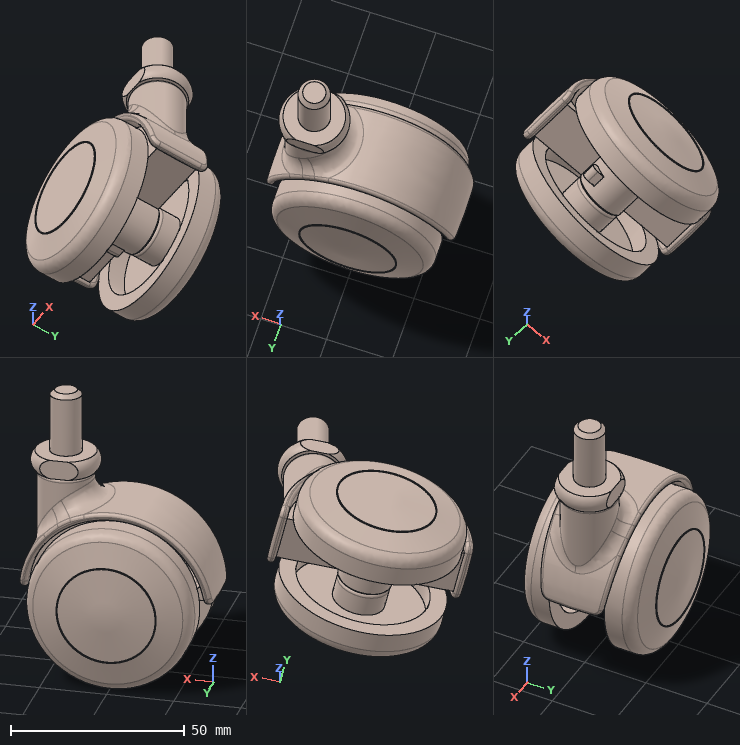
import cadquery as cq
import math


OVERALL_WIDTH = 45.0
OVERALL_HEIGHT = 86.0

MARGIN = 0.4

WHEEL_RADIUS = 25.0
WHEEL_INNER_FACE = 9.0
WHEEL_SHOULDER_FILLET = 3.8
CAP_RADIUS = 14.9
CAP_RIM_FACE = 20.7
RECESS_RADIUS = 19.95
RECESS_FLOOR = 14.6
SIDE_CONE_ANGLE = 16.5
GROOVE_WIDTH = 0.3
GROOVE_DEPTH = 0.3

SHAFT_RADIUS = 3.4
SHAFT_HALF_LENGTH = 17.2
SHOULDER_RADIUS = 7.8
SHOULDER_FILLET = 1.0

FENDER_RADIUS = 29.0
FENDER_EDGE_RADIUS = 28.55
FENDER_THICKNESS = 2.7
FENDER_BOTTOM = 1.3
FENDER_BOTTOM_MIDDLE = 0.95
FENDER_HALF_WIDTH = 12.55
FENDER_CORNER_WIDTH = 9.6
FENDER_WAIST_WIDTH = 11.6
FENDER_WAIST_HEIGHT = 14.6
FENDER_CORNER_RADIUS = 3.0
RIM_FILLET = 1.0

HUB_RADIUS = 8.0
HUB_HALF_WIDTH = 7.5
HUB_CHAMFER = 0.5
WEB_HALF_WIDTH = 6.9
WEB_BOTTOM = 1.7
OPENING_INNER_RADIUS = 18.9
OPENING_RIGHT = 8.9
OPENING_BOTTOM = 4.7
OPENING_FILLET = 3.0

LUG_RADIUS = 1.8
LUG_LENGTH = 4.1
LUG_X = -7.65
LUG_Z = -4.2

SWIVEL_X = 17.0
NECK_RADIUS = 8.5
NECK_TOP = 36.1
NECK_TOP_FILLET = 1.0
NECK_BLEND = 5.2
COLLAR_HEIGHT = 5.8
COLLAR_RADIUS = 10.3
COLLAR_END_RADIUS = 9.0
COLLAR_ACROSS_FLATS = 17.2
STUD_RADIUS = 4.7
STUD_CHAMFER = 1.4
STUD_TOP = OVERALL_HEIGHT - WHEEL_RADIUS

FENDER_INNER_RADIUS = FENDER_RADIUS - FENDER_THICKNESS
COLLAR_TOP = NECK_TOP + COLLAR_HEIGHT
FENDER_TOOL_SIZE = 4 * FENDER_RADIUS


def y_cylinder(radius, half_length):
    """A cylinder on the wheel axis, centred on the plane Y = 0."""
    return cq.Workplane("XZ", origin=(0, half_length, 0)).circle(radius).extrude(2 * half_length)


def make_fender_outline():
    """Prism along X whose section is the tapering outline of the fender."""
    outline = (
        cq.Workplane("YZ")
        .moveTo(-FENDER_HALF_WIDTH, NECK_TOP)
        .lineTo(-FENDER_HALF_WIDTH, FENDER_RADIUS)
        .threePointArc((-FENDER_WAIST_WIDTH, FENDER_WAIST_HEIGHT), (-FENDER_CORNER_WIDTH, FENDER_BOTTOM))
        .threePointArc((0, FENDER_BOTTOM_MIDDLE), (FENDER_CORNER_WIDTH, FENDER_BOTTOM))
        .threePointArc((FENDER_WAIST_WIDTH, FENDER_WAIST_HEIGHT), (FENDER_HALF_WIDTH, FENDER_RADIUS))
        .lineTo(FENDER_HALF_WIDTH, NECK_TOP)
        .close()
        .extrude(FENDER_TOOL_SIZE / 2, both=True)
    )
    corners = cq.selectors.BoxSelector(
        (-FENDER_TOOL_SIZE, -FENDER_HALF_WIDTH, FENDER_BOTTOM - MARGIN),
        (FENDER_TOOL_SIZE, FENDER_HALF_WIDTH, FENDER_BOTTOM + MARGIN),
    )
    return outline.edges("|X").edges(corners).fillet(FENDER_CORNER_RADIUS)


def make_crowned_drum():
    """Solid drum on the wheel axis, widest at Y = 0 and slightly smaller at its edges."""
    half_width = FENDER_HALF_WIDTH + MARGIN
    return (
        cq.Workplane("XY")
        .moveTo(0, -half_width)
        .lineTo(FENDER_EDGE_RADIUS, -half_width)
        .threePointArc((FENDER_RADIUS, 0), (FENDER_EDGE_RADIUS, half_width))
        .lineTo(0, half_width)
        .close()
        .revolve(360, (0, 0, 0), (0, 1, 0))
    )


def make_shell():
    """Curved fender with the neck blended into its top, hollowed for the wheels."""
    drum = make_crowned_drum()
    neck = cq.Workplane("XY").center(SWIVEL_X, 0).circle(NECK_RADIUS).extrude(NECK_TOP)
    body = drum.union(neck)
    neck_foot = cq.selectors.BoxSelector(
        (SWIVEL_X - NECK_RADIUS, -NECK_RADIUS, HUB_RADIUS),
        (SWIVEL_X + NECK_RADIUS, NECK_RADIUS, NECK_TOP - MARGIN),
    )
    body = body.edges("not (%CIRCLE or %LINE)").edges(neck_foot).fillet(NECK_BLEND)
    body = body.faces(">Z").edges().fillet(NECK_TOP_FILLET)

    body = body.intersect(make_fender_outline())
    body = body.cut(y_cylinder(FENDER_INNER_RADIUS, 2 * FENDER_HALF_WIDTH))
    return body.faces("<Z or >Y or <Y").edges().fillet(RIM_FILLET)


def make_web():
    """Plate between the shell and the hub, with an opening under the -X half of the shell."""
    web_radius = FENDER_RADIUS - FENDER_THICKNESS / 2
    web = y_cylinder(web_radius, WEB_HALF_WIDTH)
    below = cq.Workplane("XY", origin=(0, 0, WEB_BOTTOM)).rect(FENDER_TOOL_SIZE, FENDER_TOOL_SIZE)
    web = web.cut(below.extrude(-FENDER_TOOL_SIZE))

    ring = y_cylinder(FENDER_INNER_RADIUS, WEB_HALF_WIDTH)
    ring = ring.cut(y_cylinder(OPENING_INNER_RADIUS, WEB_HALF_WIDTH))
    quadrant = (
        cq.Workplane("XZ", origin=(OPENING_RIGHT, WEB_HALF_WIDTH, OPENING_BOTTOM))
        .rect(-FENDER_TOOL_SIZE, FENDER_TOOL_SIZE, centered=False)
        .extrude(2 * WEB_HALF_WIDTH)
    )
    opening = ring.intersect(quadrant).edges("|Y").fillet(OPENING_FILLET)
    return web.cut(opening)


def make_hub():
    """Barrel around the axle with a round-nosed lug on its -X side."""
    hub = y_cylinder(HUB_RADIUS, HUB_HALF_WIDTH).faces("<Y or >Y").chamfer(HUB_CHAMFER)
    lug_nose = cq.Workplane("XZ").center(LUG_X, LUG_Z).circle(LUG_RADIUS).extrude(-LUG_LENGTH)
    lug_body = (
        cq.Workplane("XZ")
        .center(LUG_X / 2, LUG_Z)
        .rect(-LUG_X, 2 * LUG_RADIUS)
        .extrude(-LUG_LENGTH)
    )
    return hub.union(lug_body).union(lug_nose)


def make_housing():
    """Shell, web and hub as one body, bored for the axle shaft."""
    housing = make_shell().union(make_web()).union(make_hub())
    return housing.cut(y_cylinder(SHAFT_RADIUS, HUB_HALF_WIDTH))


def make_axle():
    """Shaft with two shoulders that reach from the hub into the wheel recesses."""
    shoulders = y_cylinder(SHOULDER_RADIUS, RECESS_FLOOR)
    shoulders = shoulders.cut(y_cylinder(SHOULDER_RADIUS, HUB_HALF_WIDTH))
    hub_side = cq.selectors.BoxSelector(
        (-SHOULDER_RADIUS, -HUB_HALF_WIDTH - MARGIN, -SHOULDER_RADIUS),
        (SHOULDER_RADIUS, HUB_HALF_WIDTH + MARGIN, SHOULDER_RADIUS),
    )
    shoulders = shoulders.edges(hub_side).fillet(SHOULDER_FILLET)
    return y_cylinder(SHAFT_RADIUS, SHAFT_HALF_LENGTH).union(shoulders)


def make_wheel(side):
    """Wheel on the +Y side (side = 1) or the -Y side (side = -1)."""
    cone_drop = (WHEEL_RADIUS - CAP_RADIUS) * math.tan(math.radians(SIDE_CONE_ANGLE))
    cap_edge = CAP_RADIUS - GROOVE_WIDTH
    profile = [
        (0, RECESS_FLOOR),
        (RECESS_RADIUS, RECESS_FLOOR),
        (RECESS_RADIUS, WHEEL_INNER_FACE),
        (WHEEL_RADIUS, WHEEL_INNER_FACE),
        (WHEEL_RADIUS, CAP_RIM_FACE - cone_drop),
        (CAP_RADIUS, CAP_RIM_FACE),
        (CAP_RADIUS, CAP_RIM_FACE - GROOVE_DEPTH),
        (cap_edge, CAP_RIM_FACE - GROOVE_DEPTH),
        (cap_edge, CAP_RIM_FACE),
        (0, OVERALL_WIDTH / 2),
    ]
    wheel = cq.Workplane("XY").polyline(profile).close().revolve(360, (0, 0, 0), (0, 1, 0))
    widest_edges = cq.selectors.RadiusNthSelector(-1)
    wheel = wheel.edges(widest_edges).edges(">Y").fillet(WHEEL_SHOULDER_FILLET)
    wheel = wheel.cut(y_cylinder(SHAFT_RADIUS, SHAFT_HALF_LENGTH))
    return wheel if side > 0 else wheel.mirror("XZ")


def make_stud():
    """Plain round stem and its collar with two wrench flats."""
    stem = (
        cq.Workplane("XY", origin=(SWIVEL_X, 0, NECK_TOP))
        .circle(STUD_RADIUS)
        .extrude(STUD_TOP - NECK_TOP)
        .faces(">Z")
        .chamfer(STUD_CHAMFER)
    )
    collar = (
        cq.Workplane("XZ", origin=(SWIVEL_X, 0, NECK_TOP))
        .lineTo(COLLAR_END_RADIUS, 0)
        .threePointArc((COLLAR_RADIUS, COLLAR_HEIGHT / 2), (COLLAR_END_RADIUS, COLLAR_HEIGHT))
        .lineTo(0, COLLAR_HEIGHT)
        .close()
        .revolve(360, (0, 0, 0), (0, 1, 0))
    )
    flats = cq.Workplane("XY", origin=(SWIVEL_X, 0, COLLAR_TOP)).box(
        2 * COLLAR_RADIUS, COLLAR_ACROSS_FLATS, 2 * COLLAR_HEIGHT
    )
    return collar.intersect(flats).union(stem)


housing = make_housing()
stud = make_stud()
axle = make_axle()
wheels = [make_wheel(side) for side in (-1, 1)]

result = cq.Compound.makeCompound([
    housing.val(),
    stud.val(),
    axle.val(),
    *[wheel.val() for wheel in wheels],
])